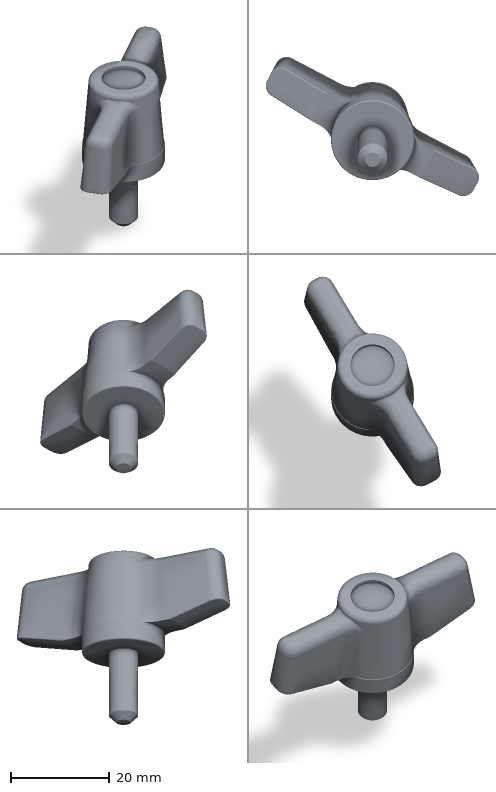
import cadquery as cq

total_height = 35.0
stud_length = 15.0
collar_top = 19.1
wing_top = 33.95
wing_tip_bottom = 21.9

stud_diameter = 6.0
stud_chamfer = 1.5
collar_diameter = 16.9
collar_edge_round = 0.3

hub_bottom_radius = 8.3
hub_top_radius = 7.05
hub_rim_round = 0.95
recess_diameter = 8.95
recess_depth = 0.95

half_span = 24.0
upright_side_x = 3.3
leaning_side_bottom_x = -3.3
leaning_side_top_x = -2.1
tip_lean = 0.122
wing_underside_y = 12.7
tip_corner_round = 2.25
wing_top_round = 2.0
underside_round = 0.25
hub_blend_radius = 5.28
junction_reach = 4.8


def tapered_hub(height):
    """Cone frustum standing on the collar, cut off at the given height."""
    taper = (hub_bottom_radius - hub_top_radius) / (total_height - collar_top)
    top_radius = hub_bottom_radius - taper * (height - collar_top)
    return (
        cq.Workplane("XZ")
        .moveTo(0, collar_top)
        .lineTo(hub_bottom_radius, collar_top)
        .lineTo(top_radius, height)
        .lineTo(0, height)
        .close()
        .revolve(360, (0, 0), (0, 1))
    )


def wing_section(z, leaning_side_x):
    """Rectangle from the hub axis to the wing tip at height z."""
    sharp_tip_y = -half_span - tip_lean * underside_round
    tip_y = sharp_tip_y + tip_lean * (z - wing_tip_bottom)
    corners = [
        (upright_side_x, 0, z),
        (leaning_side_x, 0, z),
        (leaning_side_x, tip_y, z),
        (upright_side_x, tip_y, z),
    ]
    return cq.Wire.makePolygon([cq.Vector(*corner) for corner in corners], close=True)


def wing():
    """Wing toward -Y with rounded tip corners and a rising underside."""
    sections = [
        wing_section(collar_top, leaning_side_bottom_x),
        wing_section(wing_top, leaning_side_top_x),
    ]
    blank = cq.Workplane(obj=cq.Solid.makeLoft(sections, True))
    blank = blank.faces("<Y").edges("not #Z").fillet(tip_corner_round)

    rise_per_length = (wing_tip_bottom - collar_top) / (half_span - wing_underside_y)
    past_tip_y = half_span + wing_underside_y
    underside_cut = (
        cq.Workplane("YZ")
        .moveTo(-wing_underside_y, collar_top)
        .lineTo(-past_tip_y, collar_top)
        .lineTo(-past_tip_y, collar_top + rise_per_length * (past_tip_y - wing_underside_y))
        .close()
        .extrude(collar_diameter, both=True)
    )
    return blank.cut(underside_cut)


def winged_body():
    """Both wings blended into the lower hub, with a rounded top edge."""
    one_wing = wing()
    opposite_wing = one_wing.rotate((0, 0, 0), (0, 0, 1), 180)
    body = tapered_hub(wing_top).union(one_wing).union(opposite_wing)

    collar_radius = collar_diameter / 2
    junction_zone = cq.selectors.BoxSelector(
        (-junction_reach, -collar_radius, collar_top), (junction_reach, collar_radius, wing_top)
    )
    body = body.edges(junction_zone).edges("not #Z").fillet(hub_blend_radius)

    body = body.faces(">Z").edges().fillet(wing_top_round)

    for side in (-1, 1):
        tip_y = side * half_span
        tip_zone = cq.selectors.BoxSelector(
            (-collar_radius, tip_y - side * tip_corner_round, wing_tip_bottom - tip_corner_round),
            (collar_radius, tip_y + side * tip_corner_round, wing_tip_bottom + underside_round),
        )
        body = body.edges(tip_zone).fillet(underside_round)
    return body


def hub():
    """Full-height hub with a rounded rim."""
    return tapered_hub(total_height).faces(">Z").edges().fillet(hub_rim_round)


def collar():
    disc = cq.Workplane().workplane(offset=stud_length).circle(collar_diameter / 2)
    return disc.extrude(collar_top - stud_length).faces("<Z").edges().fillet(collar_edge_round)


def stud():
    shaft = cq.Workplane().circle(stud_diameter / 2).extrude(stud_length)
    return shaft.faces("<Z").edges().chamfer(stud_chamfer)


recess = (
    cq.Workplane()
    .workplane(offset=total_height - recess_depth)
    .circle(recess_diameter / 2)
    .extrude(recess_depth)
)

hub_solid = hub()
wings = winged_body().cut(hub_solid)
result = hub_solid.union(wings).union(collar()).union(stud()).cut(recess)